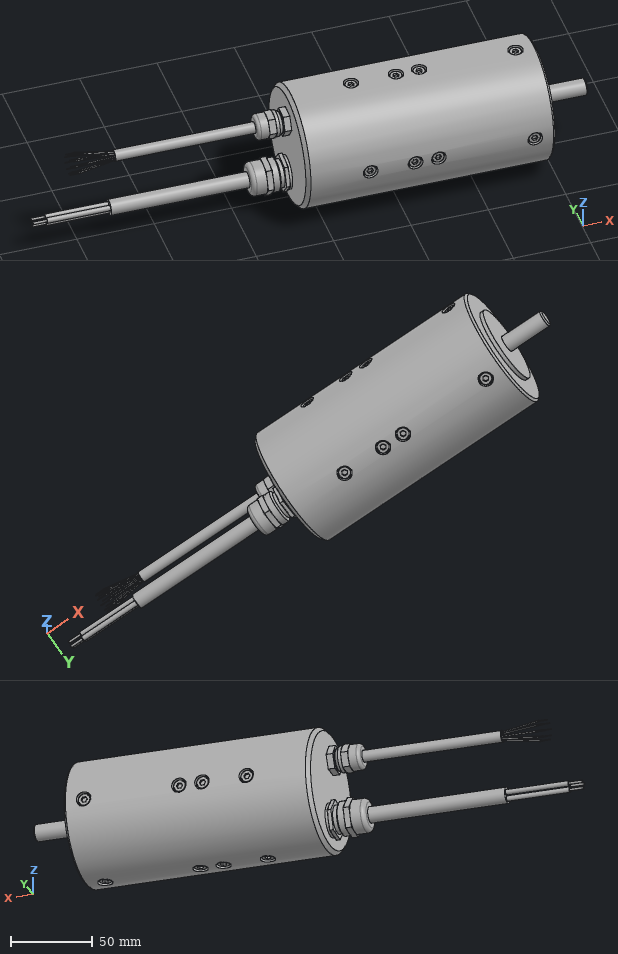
import cadquery as cq
import math


body_diameter = 80.0
body_length = 160.7
rear_chamfer = 2.5
front_chamfer = 1.5
pilot_diameter = 50.0
pilot_height = 2.5
shaft_diameter = 11.0
shaft_tip_x = 193.0
shaft_chamfer = 1.0

screw_stations = [41.0, 70.0, 85.2, 147.5]
screws_per_ring = 4
recess_diameter = 9.3
recess_depth = 3.0
head_diameter = 7.5
head_sink = 1.0
socket_corner_diameter = 4.0
socket_depth = 1.5

embed = 1.8

gland_offset = 20.0
lock_hex_start = -4.3

signal_cable_diameter = 7.5
signal_cable_end = -112.0
signal_wire_count = 10
signal_wire_turn = 10.0
signal_wire_diameter = 1.0
signal_strand_diameter = 0.5
signal_wire_tip = -141.8
signal_strand_length = 5.5
signal_root_radius = 2.0
signal_tip_radius = 6.5

power_cable_diameter = 10.5
power_cable_end = -115.3
power_wire_count = 3
power_wire_turn = 30.0
power_wire_diameter = 3.5
power_strand_diameter = 1.8
power_wire_tip = -165.0
power_strand_length = 9.0
power_wire_radius = 2.33


def rod(diameter, start_x, end_x, z=0):
    """Round bar parallel to X."""
    return (
        cq.Workplane("YZ", origin=(start_x, 0, z))
        .circle(diameter / 2)
        .extrude(end_x - start_x)
    )


def cone(start_diameter, end_diameter, start_x, end_x, z):
    """Tapered round section parallel to X."""
    solid = cq.Solid.makeCone(
        start_diameter / 2,
        end_diameter / 2,
        end_x - start_x,
        cq.Vector(start_x, 0, z),
        cq.Vector(1, 0, 0),
    )
    return cq.Workplane(solid)


def hex_bar(corner_diameter, turn, start_x, end_x, z):
    """Hexagonal bar parallel to X, turned about its own axis."""
    return (
        cq.Workplane("YZ", origin=(start_x, 0, z))
        .transformed(rotate=(0, 0, turn))
        .polygon(6, corner_diameter)
        .extrude(end_x - start_x)
    )


def straight_wire(diameter, start, end):
    """Round wire between two points."""
    axis = end - start
    solid = cq.Solid.makeCylinder(diameter / 2, axis.Length, start, axis)
    return cq.Workplane(solid)


def motor_body():
    body = rod(body_diameter, 0, body_length)
    body = body.faces("<X").chamfer(rear_chamfer)
    body = body.faces(">X").chamfer(front_chamfer)
    pilot = rod(pilot_diameter, body_length - embed, body_length + pilot_height)
    shaft = rod(shaft_diameter, body_length - embed, shaft_tip_x)
    shaft = shaft.faces(">X").chamfer(shaft_chamfer)
    return body.union(pilot).union(shaft)


def screw_gap(x):
    """Space around and inside one screw head, for the screw on the +Z side."""
    top = body_diameter / 2
    recess_floor = top - recess_depth
    head_top = top - head_sink
    recess = (
        cq.Workplane("XY", origin=(x, 0, recess_floor))
        .circle(recess_diameter / 2)
        .extrude(2 * recess_depth)
    )
    head = (
        cq.Workplane("XY", origin=(x, 0, recess_floor))
        .circle(head_diameter / 2)
        .extrude(head_top - recess_floor)
    )
    socket = (
        cq.Workplane("XY", origin=(x, 0, head_top))
        .polygon(6, socket_corner_diameter)
        .extrude(-socket_depth)
    )
    return recess.cut(head).union(socket)


def cut_screws(body):
    for x in screw_stations:
        gap = screw_gap(x)
        for i in range(screws_per_ring):
            turn = i * 360 / screws_per_ring
            body = body.cut(gap.rotate((0, 0, 0), (1, 0, 0), turn))
    return body


def gland(
    z,
    nut,
    nut_fillet,
    nut_start,
    hex_corner,
    hex_turn,
    hex_start,
    hex_end,
    collar,
    collar_end,
    neck,
    taper_end,
    washer_length,
):
    """Cap nut, hex band, collar and neck, then a lock hex seated on the body or on a washer."""
    cap = rod(nut, nut_start, hex_start, z).faces("<X").edges().fillet(nut_fillet)
    fitting = (
        cap.union(hex_bar(hex_corner, hex_turn, hex_start, hex_end, z))
        .union(rod(collar, hex_end, collar_end, z))
        .union(cone(collar, neck, collar_end, taper_end, z))
        .union(rod(neck, hex_end, embed, z))
        .union(hex_bar(hex_corner, hex_turn, lock_hex_start, -washer_length, z))
    )
    if washer_length > 0:
        fitting = fitting.union(rod(nut, -washer_length, embed, z))
    return fitting


def wire_bundle(z, count, turn, wire, strand, root_x, tip_x, strand_length, root_radius, tip_radius):
    """Ring of insulated wires, each ending in a bare strand parallel to X."""
    strip_x = tip_x + strand_length
    bundle = cq.Workplane()
    for i in range(count):
        angle = math.radians(turn + i * 360 / count)
        outward = cq.Vector(0, math.cos(angle), math.sin(angle))
        root = cq.Vector(root_x, 0, z) + outward * root_radius
        strip_point = cq.Vector(strip_x, 0, z) + outward * tip_radius
        tip = cq.Vector(tip_x, 0, z) + outward * tip_radius
        bundle = bundle.add(straight_wire(wire, root, strip_point))
        strand_root = strip_point + cq.Vector(strand / 2, 0, 0)
        bundle = bundle.add(straight_wire(strand, strand_root, tip))
    return bundle.combine()


def signal_cable():
    z = gland_offset
    fitting = gland(
        z,
        nut=17.0,
        nut_fillet=2.0,
        nut_start=-21.5,
        hex_corner=18.3,
        hex_turn=4.0,
        hex_start=-14.0,
        hex_end=-9.3,
        collar=17.0,
        collar_end=-7.0,
        neck=14.0,
        taper_end=-5.0,
        washer_length=0,
    )
    wires = wire_bundle(
        z,
        count=signal_wire_count,
        turn=signal_wire_turn,
        wire=signal_wire_diameter,
        strand=signal_strand_diameter,
        root_x=signal_cable_end + embed,
        tip_x=signal_wire_tip,
        strand_length=signal_strand_length,
        root_radius=signal_root_radius,
        tip_radius=signal_tip_radius,
    )
    return rod(signal_cable_diameter, signal_cable_end, embed, z).union(fitting).union(wires)


def power_cable():
    z = -gland_offset
    fitting = gland(
        z,
        nut=22.0,
        nut_fillet=3.0,
        nut_start=-25.8,
        hex_corner=25.0,
        hex_turn=8.0,
        hex_start=-16.0,
        hex_end=-12.0,
        collar=22.0,
        collar_end=-8.0,
        neck=18.3,
        taper_end=-6.8,
        washer_length=1.8,
    )
    wires = wire_bundle(
        z,
        count=power_wire_count,
        turn=power_wire_turn,
        wire=power_wire_diameter,
        strand=power_strand_diameter,
        root_x=power_cable_end + embed,
        tip_x=power_wire_tip,
        strand_length=power_strand_length,
        root_radius=power_wire_radius,
        tip_radius=power_wire_radius,
    )
    return rod(power_cable_diameter, power_cable_end, embed, z).union(fitting).union(wires)


result = cut_screws(motor_body()).union(signal_cable()).union(power_cable())